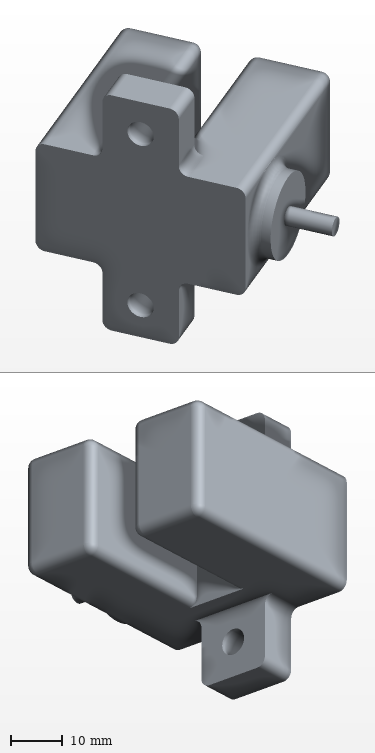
import cadquery as cq

total_length = 58.0
total_depth = 45.0
total_height = 55.0

body_length = 44.0
body_height = 25.0
prong_width = 17.0
base_depth = 13.0
edge_radius = 2.0

flange_width = 16.0
flange_thickness = 8.0
hole_diameter = 5.5
hole_spacing = 40.0

outlet_y = 12.0
outlet_length = 4.0
outlet_radius = 9.0
flare_radius = 2.0
cable_radius = 2.0

body_center_x = body_length / 2


def block(x_start, length, depth, height):
    """Block from the mounting face, centred in height."""
    solid = cq.Workplane("XY").box(length, depth, height, centered=(False, False, True))
    return solid.translate((x_start, 0, 0))


def make_prong(x_start):
    """Full-depth arm with every edge rounded except those on the mounting face."""
    arm = block(x_start, prong_width, total_depth, body_height)
    return arm.edges("|Y or >Y").fillet(edge_radius)


def make_base():
    """Bridge between the prongs, joined to the mounting flange."""
    bridge = block(0, body_length, base_depth, body_height).edges("|Y").fillet(edge_radius)
    flange = block(body_center_x - flange_width / 2, flange_width, flange_thickness, total_height)
    flange = flange.edges("|Y").fillet(edge_radius)
    return bridge.union(flange)


def make_corner_fillet(side, end):
    """Concave fillet where one flange side (+1/-1 in X) meets the body at one end (+1/-1 in Z)."""
    corner_x = body_center_x + side * flange_width / 2
    corner_z = end * body_height / 2
    square = (
        cq.Workplane("XY")
        .box(edge_radius, flange_thickness, edge_radius, centered=(True, False, True))
        .translate((corner_x + side * edge_radius / 2, 0, corner_z + end * edge_radius / 2))
    )
    round_cut = (
        cq.Workplane("XZ", origin=(corner_x + side * edge_radius, 0, corner_z + end * edge_radius))
        .circle(edge_radius)
        .extrude(-flange_thickness)
    )
    return square.cut(round_cut)


def make_cable_outlet():
    """Flared collar and cable, revolved about the cable axis."""
    flare_end = body_length + flare_radius
    collar_end = body_length + outlet_length
    arc_offset = flare_radius * (1 - 0.5**0.5)
    return (
        cq.Workplane("XY", origin=(0, outlet_y, 0))
        .moveTo(body_length - edge_radius, 0)
        .lineTo(body_length - edge_radius, outlet_radius + flare_radius)
        .lineTo(body_length, outlet_radius + flare_radius)
        .threePointArc(
            (body_length + arc_offset, outlet_radius + arc_offset),
            (flare_end, outlet_radius),
        )
        .lineTo(collar_end, outlet_radius)
        .lineTo(collar_end, cable_radius)
        .lineTo(total_length, cable_radius)
        .lineTo(total_length, 0)
        .close()
        .revolve(360, (0, 0, 0), (1, 0, 0))
    )


part = make_base()
for prong_x in (0, body_length - prong_width):
    part = part.union(make_prong(prong_x))
for side in (-1, 1):
    for end in (-1, 1):
        part = part.union(make_corner_fillet(side, end))
part = part.union(make_cable_outlet())

mounting_holes = (
    cq.Workplane("XZ")
    .pushPoints([(body_center_x, -hole_spacing / 2), (body_center_x, hole_spacing / 2)])
    .circle(hole_diameter / 2)
    .extrude(-flange_thickness)
)
result = part.cut(mounting_holes)